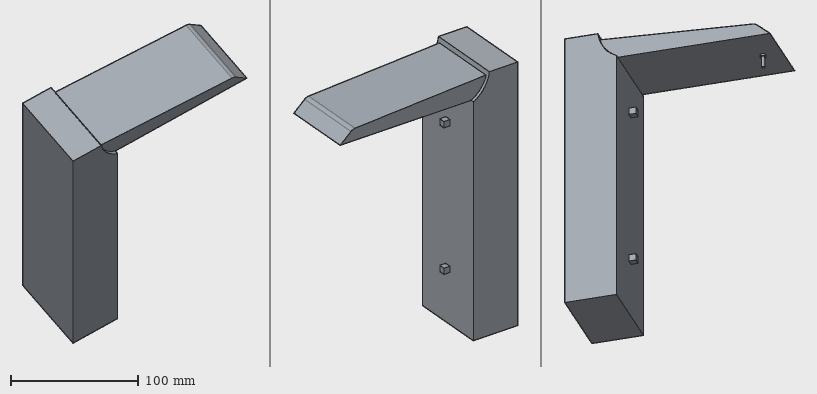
import cadquery as cq
import math

column_width = 69.5
column_depth = 42.7
column_height = 237.0
column_top_depth = 27.3
scoop_bulge = 3.3

arm_width = 63.3
arm_end_y = 168.3
arm_bottom_z = 214.7
arm_root_y = 28.5
arm_root_z = 233.0
nose_round_start = (154.0, 225.6)
nose_round_end = (157.8, 224.0)
nose_round_bulge = 0.35

peg_side = 5.7
peg_length = 5.7
peg_heights = (49.8, 181.5)

pin_y = 152.5
pin_head_diameter = 4.7
pin_head_height = 1.7
pin_diameter = 2.5
pin_length = 11.0

overlap = 2.4


def point_beside_chord(start, end, offset):
    """Midpoint of a chord, moved to the left of its direction by offset."""
    dy = end[0] - start[0]
    dz = end[1] - start[1]
    length = math.hypot(dy, dz)
    middle_y = (start[0] + end[0]) / 2
    middle_z = (start[1] + end[1]) / 2
    return (middle_y - offset * dz / length, middle_z + offset * dy / length)


scoop_bottom = (column_depth, arm_bottom_z)
scoop_top = (column_top_depth, column_height)
scoop_middle = point_beside_chord(scoop_bottom, scoop_top, scoop_bulge)


def make_column():
    return (
        cq.Workplane("YZ")
        .lineTo(column_depth, 0)
        .lineTo(*scoop_bottom)
        .threePointArc(scoop_middle, scoop_top)
        .lineTo(0, column_height)
        .close()
        .extrude(column_width / 2, both=True)
    )


def make_arm():
    """Tapered arm whose root is buried in the column below the scoop."""
    nose_middle = point_beside_chord(nose_round_start, nose_round_end, nose_round_bulge)
    return (
        cq.Workplane("YZ")
        .moveTo(arm_root_y, arm_bottom_z)
        .lineTo(arm_end_y, arm_bottom_z)
        .lineTo(*nose_round_end)
        .threePointArc(nose_middle, nose_round_start)
        .lineTo(arm_root_y, arm_root_z)
        .close()
        .extrude(arm_width / 2, both=True)
    )


def make_peg(height):
    return (
        cq.Workplane("XZ", origin=(0, column_depth - overlap, height))
        .rect(peg_side, peg_side)
        .extrude(-(peg_length + overlap))
    )


def make_pin_section(diameter, length):
    start = cq.Vector(0, pin_y, arm_bottom_z + overlap)
    return cq.Solid.makeCylinder(diameter / 2, length + overlap, start, cq.Vector(0, 0, -1))


result = make_column().union(make_arm())
for peg_height in peg_heights:
    result = result.union(make_peg(peg_height))
result = result.union(make_pin_section(pin_head_diameter, pin_head_height))
result = result.union(make_pin_section(pin_diameter, pin_length))